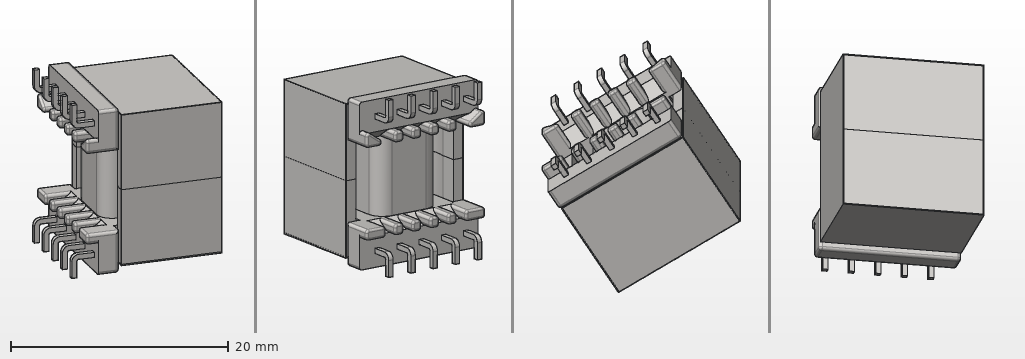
import cadquery as cq


WRAP_WIDTH = 13.3
WRAP_HEIGHT = 14.85
WRAP_WALL = 0.1
CORE_WIDTH = WRAP_WIDTH - 2 * WRAP_WALL
CORE_HEIGHT = WRAP_HEIGHT - 2 * WRAP_WALL
CORE_DEPTH = 9.83
POST_HALF = 2.74
CORE_FRONT = -POST_HALF
CORE_BACK = CORE_FRONT + CORE_DEPTH
CAVITY_RADIUS = 5.6
OPENING_WIDTH = 11.0

POST_CLEARANCE = 0.12
TUBE_WALL = 0.6
TUBE_CORNER = 1.53
BORE_HALF = POST_HALF + POST_CLEARANCE
BORE_CORNER = TUBE_CORNER - TUBE_WALL
TUBE_HALF = BORE_HALF + TUBE_WALL
POST_CORNER = BORE_CORNER - POST_CLEARANCE
FLANGE_RADIUS = 5.22
FLANGE_INNER = 3.94
FLANGE_OUTER = 4.58
FLANGE_CLEARANCE = 0.1
CAVITY_HALF_HEIGHT = FLANGE_OUTER + FLANGE_CLEARANCE

BAR_WIDTH = 13.4
BAR_OUTER = 8.06
BAR_GAP = 0.25
BAR_BACK = CORE_FRONT - BAR_GAP
BAR_FRONT = CORE_FRONT - 2.26
EDGE_RADIUS = 0.3
RAMP_START = CORE_FRONT - 0.8

TOOTH_FRONT = CORE_FRONT - 3.42
TOOTH_FRONT_RADIUS = 0.22
TOOTH_WIDTH = 1.0
TOOTH_PITCH = 2.0
TOOTH_COUNT = 4
TOOTH_HEIGHT = 1.02
TOOTH_OUTER = FLANGE_INNER + TOOTH_HEIGHT
STANDOFF_WIDTH = 2.2
WEDGE_WIDTH = 2.4
WEDGE_HEIGHT = 1.65
RAMP_HALF_WIDTH = BAR_WIDTH / 2 - WEDGE_WIDTH * (1 - TOOTH_HEIGHT / WEDGE_HEIGHT)

PIN_SIZE = 0.5
PIN_PITCH = 2.5
PIN_COUNT = 5
PIN_ROW_SHIFT = 0.3
PIN_INNER = 6.2
PIN_TIP = 8.5
PIN_FRONT = CORE_FRONT - 4.47
PIN_BEND_OUTER = 0.67
PIN_BEND_INNER = PIN_BEND_OUTER - PIN_SIZE


def block(x_min, x_max, y_min, y_max, z_min, z_max):
    """Axis-aligned box between two corners."""
    size = (x_max - x_min, y_max - y_min, z_max - z_min)
    return cq.Workplane("XY").box(*size, centered=False).translate((x_min, y_min, z_min))


def rounded_column(half_width, corner, z_min, z_max):
    """Square column on the post axis with rounded corners."""
    column = block(-half_width, half_width, -half_width, half_width, z_min, z_max)
    return column.edges("|Z").fillet(corner)


def round_front(body):
    """Round the edges along Y and around the front of a projecting block."""
    return body.edges("|Y").fillet(EDGE_RADIUS).faces("<Y").edges().fillet(TOOTH_FRONT_RADIUS)


def spaced(count, pitch):
    """Positions of a row centred on zero."""
    return [(i - (count - 1) / 2) * pitch for i in range(count)]


def make_core_half():
    """Upper core half: block with a round cavity open to the front, and the centre post."""
    half_width = CORE_WIDTH / 2
    half_opening = OPENING_WIDTH / 2
    body = block(-half_width, half_width, CORE_FRONT, CORE_BACK, 0, CORE_HEIGHT / 2)
    cavity = cq.Workplane("XY").circle(CAVITY_RADIUS).extrude(CAVITY_HALF_HEIGHT)
    opening_back = -(CAVITY_RADIUS**2 - half_opening**2) ** 0.5
    cavity = cavity.cut(
        block(-half_width, half_width, -CAVITY_RADIUS, opening_back, 0, CAVITY_HALF_HEIGHT)
    )
    opening = block(-half_opening, half_opening, CORE_FRONT, 0, 0, CAVITY_HALF_HEIGHT)
    post = rounded_column(POST_HALF, POST_CORNER, 0, CAVITY_HALF_HEIGHT)
    return body.cut(cavity).cut(opening).union(post)


def make_wrap():
    """Thin rectangular band around the sides, top and bottom of the core."""
    band = cq.Workplane("XZ", origin=(0, CORE_BACK, 0)).rect(WRAP_WIDTH, WRAP_HEIGHT)
    return band.rect(CORE_WIDTH, CORE_HEIGHT).extrude(CORE_DEPTH)


def make_flange():
    """Upper flange: round at the back, straight-sided up to the terminal bar."""
    thickness = FLANGE_OUTER - FLANGE_INNER
    disc = cq.Workplane("XY", origin=(0, 0, FLANGE_INNER)).circle(FLANGE_RADIUS).extrude(thickness)
    in_front = block(-FLANGE_RADIUS, FLANGE_RADIUS, -FLANGE_RADIUS, 0, FLANGE_INNER, FLANGE_OUTER)
    neck_front = BAR_BACK - EDGE_RADIUS
    neck = block(-FLANGE_RADIUS, FLANGE_RADIUS, neck_front, 0, FLANGE_INNER, FLANGE_OUTER)
    return disc.cut(in_front).union(neck)


def make_bar():
    """Upper terminal bar with rounded edges and a ramp along its inner front edge."""
    half_width = BAR_WIDTH / 2
    bar = block(-half_width, half_width, BAR_FRONT, BAR_BACK, FLANGE_INNER, BAR_OUTER)
    bar = bar.edges("|Y or (>Y and |Z) or (>Y and >Z)").fillet(EDGE_RADIUS)
    ramp = (
        cq.Workplane("YZ", origin=(-RAMP_HALF_WIDTH, 0, 0))
        .moveTo(RAMP_START, FLANGE_INNER)
        .lineTo(BAR_FRONT, TOOTH_OUTER)
        .lineTo(BAR_FRONT, FLANGE_INNER)
        .close()
        .extrude(2 * RAMP_HALF_WIDTH)
    )
    return bar.cut(ramp)


def make_tooth(x_min, x_max):
    """Upper wire-guide tooth or standoff between two X positions."""
    return round_front(block(x_min, x_max, TOOTH_FRONT, RAMP_START, FLANGE_INNER, TOOTH_OUTER))


def make_square_standoff():
    """Left standoff of a row, with a rectangular section."""
    return make_tooth(-BAR_WIDTH / 2, -BAR_WIDTH / 2 + STANDOFF_WIDTH)


def make_wedge_standoff():
    """Left standoff of a row, with a triangular section."""
    wedge = (
        cq.Workplane("XZ", origin=(-BAR_WIDTH / 2, RAMP_START, FLANGE_INNER))
        .lineTo(WEDGE_WIDTH, 0)
        .lineTo(0, WEDGE_HEIGHT)
        .close()
        .extrude(RAMP_START - TOOTH_FRONT)
    )
    return round_front(wedge)


def make_pin(x):
    """Upper pin: out of the bar along -Y, then bent up along Z."""
    back_of_tip = PIN_FRONT + PIN_SIZE
    outline = (
        cq.Workplane("YZ", origin=(x - PIN_SIZE / 2, 0, 0))
        .moveTo(BAR_FRONT, PIN_INNER)
        .lineTo(PIN_FRONT + PIN_BEND_OUTER, PIN_INNER)
        .radiusArc((PIN_FRONT, PIN_INNER + PIN_BEND_OUTER), PIN_BEND_OUTER)
        .lineTo(PIN_FRONT, PIN_TIP)
        .lineTo(back_of_tip, PIN_TIP)
        .lineTo(back_of_tip, PIN_INNER + PIN_BEND_OUTER)
        .radiusArc((back_of_tip + PIN_BEND_INNER, PIN_INNER + PIN_SIZE), -PIN_BEND_INNER)
        .lineTo(BAR_FRONT, PIN_INNER + PIN_SIZE)
        .close()
    )
    return outline.extrude(PIN_SIZE)


def make_bobbin_end(standoff):
    """Upper end of the bobbin: flange, bar, teeth, two mirrored standoffs and pins."""
    end = make_flange().union(make_bar())
    for x in spaced(TOOTH_COUNT, TOOTH_PITCH):
        end = end.union(make_tooth(x - TOOTH_WIDTH / 2, x + TOOTH_WIDTH / 2))
    end = end.union(standoff).union(standoff.mirror("YZ"))
    for x in spaced(PIN_COUNT, PIN_PITCH):
        end = end.union(make_pin(x + PIN_ROW_SHIFT))
    return end


def make_bobbin():
    """Tube with two ends, bored through for the centre post."""
    tube = rounded_column(TUBE_HALF, TUBE_CORNER, -FLANGE_INNER, FLANGE_INNER)
    upper_end = make_bobbin_end(make_wedge_standoff())
    lower_end = make_bobbin_end(make_square_standoff()).mirror("XY")
    bore = rounded_column(BORE_HALF, BORE_CORNER, -FLANGE_OUTER, FLANGE_OUTER)
    return tube.union(upper_end).union(lower_end).cut(bore)


upper_core = make_core_half()
lower_core = upper_core.mirror("XY")
wrap = make_wrap()
bobbin = make_bobbin()

result = cq.Compound.makeCompound([upper_core.val(), lower_core.val(), wrap.val(), bobbin.val()])